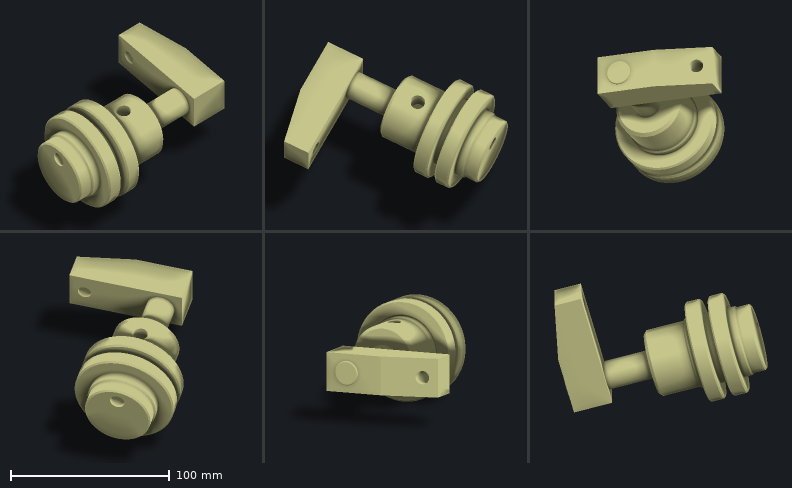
import cadquery as cq


housing_length = 70.0
barrel_radius = 21.48
front_chamfer = 1.0
rear_chamfer = 2.0
band_radius = 22.49
band_start = 9.0
band_end = 43.8
band_chamfer = band_radius - barrel_radius

port_mouth_radius = 4.7
port_floor_radius = 4.0
port_depth = 12.0
side_port_y = 53.5
end_port_z = 12.5

nut_count = 2
nut_radius = 32.5
nut_thickness = 10.0
nut_gap = 5.2
first_nut_y = 14.9
nut_chamfer = 1.0

rod_radius = 9.1
rod_length = 30.0

arm_height = 25.0
arm_depth = 25.0
arm_tip_reach = 60.0
arm_heel_reach = 14.0
arm_tip_depth = 17.3
arm_taper_length = 36.5
arm_hole_diameter = 8.6
arm_hole_inset = 10.0

screw_radius = 7.8
screw_protrusion = 1.0
screw_fillet = 0.8

arm_y = housing_length + rod_length
arm_back_y = arm_y + arm_depth


def cylinder_along_y(radius, start_y, length):
    """Solid cylinder on the Y axis that runs from start_y towards +Y."""
    return cq.Workplane("XZ", origin=(0, start_y, 0)).circle(radius).extrude(-length)


def make_port(mouth, inward):
    """Tapered blind bore that narrows from its mouth in the inward direction."""
    cone = cq.Solid.makeCone(port_mouth_radius, port_floor_radius, port_depth, mouth, inward)
    return cq.Workplane(cone)


def make_housing():
    barrel = cylinder_along_y(barrel_radius, 0, housing_length)
    barrel = barrel.faces("<Y").chamfer(front_chamfer)
    barrel = barrel.faces(">Y").chamfer(rear_chamfer)
    band = cylinder_along_y(band_radius, band_start, band_end - band_start)
    band = band.faces("<Y or >Y").chamfer(band_chamfer)

    end_port = make_port(cq.Vector(0, 0, end_port_z), cq.Vector(0, 1, 0))
    side_port = make_port(cq.Vector(0, side_port_y, barrel_radius), cq.Vector(0, 0, -1))
    return barrel.union(band).cut(end_port).cut(side_port)


def make_ring_nut(start_y):
    """Ring that fits the threaded band, chamfered on its rim and around its bore."""
    blank = cylinder_along_y(nut_radius, start_y, nut_thickness)
    bore = cylinder_along_y(band_radius, start_y, nut_thickness)
    return blank.cut(bore).faces("<Y or >Y").chamfer(nut_chamfer)


def make_rod():
    return cylinder_along_y(rod_radius, housing_length, rod_length)


def make_arm():
    """Bar with a back face that tapers towards the tip and a bored hole for the screw."""
    outline = [
        (arm_heel_reach, arm_y),
        (arm_heel_reach, arm_back_y),
        (arm_taper_length - arm_tip_reach, arm_back_y),
        (-arm_tip_reach, arm_y + arm_tip_depth),
        (-arm_tip_reach, arm_y),
    ]
    bar = cq.Workplane("XY").polyline(outline).close().extrude(arm_height / 2, both=True)
    tip_hole = (
        cq.Workplane("XZ", origin=(arm_hole_inset - arm_tip_reach, arm_y, 0))
        .circle(arm_hole_diameter / 2)
        .extrude(-arm_depth)
    )
    screw_hole = cylinder_along_y(screw_radius, arm_y, arm_depth)
    return bar.cut(tip_hole).cut(screw_hole)


def make_screw():
    """Plug that fills the bore of the arm and stands slightly proud of its back face."""
    screw = cylinder_along_y(screw_radius, arm_y, arm_depth + screw_protrusion)
    return screw.faces(">Y").fillet(screw_fillet)


housing = make_housing()
rod = make_rod()
arm = make_arm()
screw = make_screw()
nut_pitch = nut_thickness + nut_gap
ring_nuts = [make_ring_nut(first_nut_y + i * nut_pitch) for i in range(nut_count)]

result = cq.Compound.makeCompound(
    [housing.val(), rod.val(), arm.val(), screw.val(), *[nut.val() for nut in ring_nuts]]
)